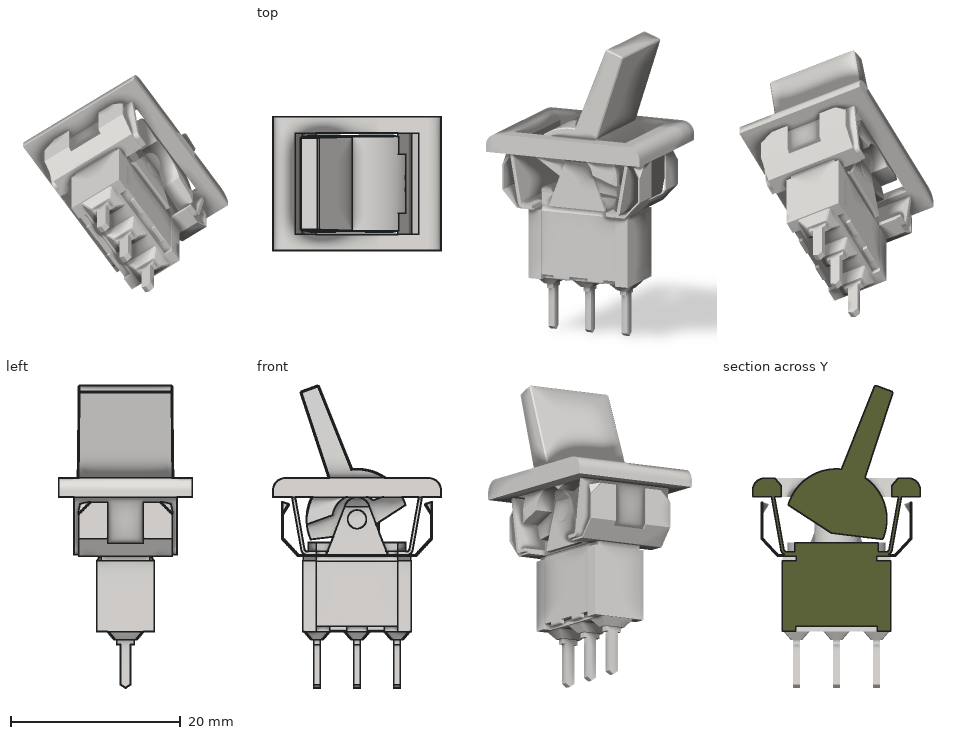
import cadquery as cq
import math


bezel_length, bezel_width, bezel_height = 19.85, 15.8, 2.26
bezel_bottom = 6.9
bezel_radius = 1.5
window_length, window_width = 14.56, 11.95
window_bevel_length, window_bevel_height = 0.8, 0.93

case_length, case_width = 12.8, 6.8
case_bottom = -8.97
cover_length = 9.56
cover_setback = 0.04
cover_chamfer_width, cover_chamfer_height = 0.35, 0.65
post_top = -0.6
post_lip_setback, post_lip_width = 0.04, 5.68
post_lip_top = -0.1
relief_height, relief_depth = 0.62, 1.0
tab_offset, tab_length, tab_height, tab_depth = 2.2, 2.0, 0.5, 0.5
collar_diameter, collar_width, collar_top = 11.5, 6.4, 1.57
bushing_diameter = 5.2

terminal_pitch = 4.72
terminal_thickness, terminal_width = 0.79, 1.22
terminal_end = -15.62
terminal_tip_rise = 0.42
shoulder_width, shoulder_bottom = 2.1, -10.5
boot_bottom = -9.93
boot_root = (3.05, 4.24)
boot_end = (1.4, 2.7)
boot_corner = 0.15

bracket_width = 12.16
bracket_bottom, bracket_thickness = 0.09, 0.4
leg_outer_bottom, leg_outer_top = 6.48, 7.69
leg_thickness_x = 0.42
bend_radius = 0.3
bracket_waist = 6.5
ear_inner, ear_thickness = 3.48, 0.35
ear_half_base, ear_half_top = 3.63, 1.47
ear_shoulder = 5.74
ear_top = 6.88
ear_flare = 0.7

spring_width, spring_thickness = 11.08, 0.2
spring_bottom = -0.1
spring_waist = case_width - 2 * (cover_setback + cover_chamfer_width)
spring_foot_x, spring_side_x = 6.96, 8.88
spring_elbow, spring_top = 1.97, 6.3
spring_slot_width, spring_slot_bottom = 4.2, 1.47
corner_fold = 1.42
corner_fold_angle = 48

pivot_height, pivot_diameter = 4.28, 2.2
pivot_protrusion = 0.04
tilt = 20
rocker_radius = 5.97
rocker_corner_drop, rocker_apex_drop = 0.38, 1.76
cap_bottom = 1.45
cap_recess_radius = 2.93
cap_half_width_bottom, cap_half_width_top = 5.7, 5.54
cap_side_flat, cap_end_setback = 5.0, 0.15
core_width = 2 * ear_inner
paddle_half_root, paddle_root = 1.5, 5.76
paddle_half_tip, paddle_tip = 1.17, 16.43
paddle_edge_chamfer = 0.15
cap_edge_chamfer = 0.12


def box(length, width, bottom, top, x=0, y=0):
    """Upright box centred on (x, y)."""
    return cq.Workplane("XY", origin=(x, y, bottom)).rect(length, width).extrude(top - bottom)


def prism_along_y(points, width):
    """Closed X-Z outline extruded symmetrically about Y = 0."""
    return cq.Workplane("XZ").polyline(points).close().extrude(width / 2, both=True)


def mirrored(body, plane):
    return body.union(body.mirror(plane))


def make_bezel():
    top = bezel_bottom + bezel_height
    frame = box(bezel_length, bezel_width, bezel_bottom, top)
    frame = frame.faces(">Z").edges("|Y").fillet(bezel_radius)
    half_top = window_length / 2
    half_bottom = half_top - window_bevel_length
    bevel_bottom = top - window_bevel_height
    window = prism_along_y([
        (-half_bottom, bezel_bottom),
        (-half_bottom, bevel_bottom),
        (-half_top, top),
        (half_top, top),
        (half_bottom, bevel_bottom),
        (half_bottom, bezel_bottom),
    ], window_width)
    return frame.cut(window)


def make_case():
    cover = box(cover_length, case_width - 2 * cover_setback, case_bottom, 0)
    cover = cover.faces(">Z").edges("|X").chamfer(cover_chamfer_height, cover_chamfer_width)
    body = cover.union(box(case_length, case_width, case_bottom, post_top).cut(
        box(cover_length, case_width, case_bottom, post_top)))
    relief_y = (case_width - relief_depth) / 2
    relief_top = case_bottom + relief_height
    relief = box(cover_length, relief_depth, case_bottom, relief_top, y=-relief_y)
    body = body.cut(mirrored(relief, "XZ"))
    tab_y = (case_width - tab_depth) / 2
    for x in (-tab_offset, tab_offset):
        tab = box(tab_length, tab_depth, relief_top - tab_height, relief_top, x, -tab_y)
        tab = tab.edges("|X and <Y and <Z").fillet(tab_depth / 2)
        body = body.union(mirrored(tab, "XZ"))
    post_lip_length = case_length - 2 * post_lip_setback
    body = body.union(box(post_lip_length, post_lip_width, post_top, post_lip_top))
    collar = cq.Workplane("XY", origin=(0, 0, post_lip_top)).circle(collar_diameter / 2)
    collar = collar.extrude(collar_top - post_lip_top)
    collar = collar.intersect(box(collar_diameter, collar_width, post_lip_top, collar_top))
    bushing = cq.Workplane("XY").circle(bushing_diameter / 2).extrude(pivot_height)
    return body.union(collar).union(bushing)


def clipped_rectangle(plane, size):
    """Rectangle with its four corners cut off at 45 degrees."""
    half_x, half_y = size[0] / 2, size[1] / 2
    inner_x, inner_y = half_x - boot_corner, half_y - boot_corner
    return plane.polyline([
        (half_x, -inner_y), (half_x, inner_y), (inner_x, half_y), (-inner_x, half_y),
        (-half_x, inner_y), (-half_x, -inner_y), (-inner_x, -half_y), (inner_x, -half_y),
    ]).close()


def make_terminal(x):
    boot = clipped_rectangle(cq.Workplane("XY", origin=(x, 0, case_bottom)), boot_root)
    boot = clipped_rectangle(boot.workplane(offset=boot_bottom - case_bottom), boot_end).loft(combine=True)
    shoulder = box(terminal_thickness, shoulder_width, shoulder_bottom, boot_bottom, x)
    half = terminal_width / 2
    flank_end = terminal_end + terminal_tip_rise
    blade = (
        cq.Workplane("YZ", origin=(x, 0, 0))
        .moveTo(-half, case_bottom)
        .lineTo(-half, flank_end)
        .lineTo(0, terminal_end)
        .lineTo(half, flank_end)
        .lineTo(half, case_bottom)
        .close()
        .extrude(terminal_thickness / 2, both=True)
    )
    return boot.union(shoulder).union(blade)


def make_ear():
    """Pivot ear on the -Y side with its domed tip flared outwards."""
    outer = ear_inner + ear_thickness
    outline = (
        cq.Workplane("XZ")
        .moveTo(-ear_half_base, bracket_bottom)
        .lineTo(ear_half_base, bracket_bottom)
        .lineTo(ear_half_top, ear_shoulder)
        .threePointArc((0, ear_top), (-ear_half_top, ear_shoulder))
        .close()
        .extrude(outer + ear_flare)
    )
    section = cq.Workplane("YZ").polyline([
        (-ear_inner, bracket_bottom),
        (-outer, bracket_bottom),
        (-outer, ear_shoulder),
        (-outer - ear_flare, ear_top),
        (-ear_inner - ear_flare, ear_top),
        (-ear_inner, ear_shoulder),
    ]).close().extrude(ear_half_base, both=True)
    return outline.intersect(section)


def make_bracket():
    plate_top = bracket_bottom + bracket_thickness
    lean = (leg_outer_top - leg_outer_bottom) / (bezel_bottom - bracket_bottom)
    inner_bottom = leg_outer_bottom - leg_thickness_x + lean * bracket_thickness
    inner_top = leg_outer_top - leg_thickness_x
    half_cover = cover_length / 2
    leg = prism_along_y([
        (half_cover, bracket_bottom),
        (leg_outer_bottom, bracket_bottom),
        (leg_outer_top, bezel_bottom),
        (inner_top, bezel_bottom),
        (inner_bottom, plate_top),
        (half_cover, plate_top),
    ], bracket_width)
    outer_edge = cq.selectors.NearestToPointSelector((leg_outer_bottom, 0, bracket_bottom))
    inner_edge = cq.selectors.NearestToPointSelector((inner_bottom, 0, plate_top))
    leg = leg.edges("|Y").edges(outer_edge).fillet(bend_radius + bracket_thickness)
    leg = leg.edges("|Y").edges(inner_edge).fillet(bend_radius)
    waist = box(cover_length, bracket_waist, bracket_bottom, plate_top)
    root = box(2 * ear_half_base, 2 * ear_inner, bracket_bottom, plate_top)
    ears = mirrored(make_ear(), "XZ")
    return mirrored(leg, "YZ").union(waist).union(root).union(ears)


def make_folded_corner():
    """Triangular flap at the upper -Y corner of the +X spring arm, folded inwards."""
    half = spring_width / 2
    fold_x = spring_side_x - spring_thickness / 2
    fold_start = cq.Vector(fold_x, -half, spring_top - corner_fold)
    fold_end = cq.Vector(fold_x, -half + corner_fold, spring_top)
    fold_mid = (fold_start + fold_end) * 0.5
    angle = math.radians(corner_fold_angle)
    across = math.sin(math.pi / 4)
    outward = cq.Vector(-math.sin(angle), -across * math.cos(angle), across * math.cos(angle))
    along = (fold_end - fold_start).normalized()
    plane = cq.Plane(fold_mid.toTuple(), along.toTuple(), along.cross(outward).toTuple())
    half_fold = corner_fold * across
    flap = cq.Workplane(plane).polyline([(-half_fold, 0), (half_fold, 0), (0, half_fold)]).close()
    return flap.extrude(spring_thickness / 2, both=True)


def make_spring():
    spring_floor = spring_bottom + spring_thickness
    half_cover = cover_length / 2
    slope = math.atan2(spring_elbow - spring_bottom, spring_side_x - spring_foot_x)
    foot_shift = spring_thickness * math.tan(slope / 2)
    elbow_shift = spring_thickness * math.tan((math.pi / 2 - slope) / 2)
    inner_x = spring_side_x - spring_thickness
    arm = prism_along_y([
        (half_cover, spring_bottom),
        (spring_foot_x, spring_bottom),
        (spring_side_x, spring_elbow),
        (spring_side_x, spring_top),
        (inner_x, spring_top),
        (inner_x, spring_elbow + elbow_shift),
        (spring_foot_x - foot_shift, spring_floor),
        (half_cover, spring_floor),
    ], spring_width)
    slot_length = 2 * (spring_side_x - spring_foot_x)
    arm = arm.cut(box(slot_length, spring_slot_width, spring_slot_bottom, spring_top, spring_side_x))
    clip_line = [
        (-spring_width / 2, spring_top - corner_fold),
        (-spring_width / 2, spring_top),
        (-spring_width / 2 + corner_fold, spring_top),
    ]
    corner = cq.Workplane("YZ").polyline(clip_line).close().extrude(2 * spring_side_x)
    arm = arm.cut(mirrored(corner, "XZ"))
    arm = arm.union(mirrored(make_folded_corner(), "XZ"))
    waist = box(cover_length, spring_waist, spring_bottom, spring_floor)
    return mirrored(arm, "YZ").union(waist)


def make_cap_and_paddle():
    """Upper rocker shell and its paddle, upright about a pivot at the origin."""
    half_chord = math.sqrt(rocker_radius ** 2 - cap_bottom ** 2)
    cap = (
        cq.Workplane("XZ")
        .moveTo(-half_chord, cap_bottom)
        .threePointArc((0, rocker_radius), (half_chord, cap_bottom))
        .close()
        .extrude(cap_half_width_bottom, both=True)
    )
    draft = cq.Workplane("YZ").polyline([
        (-cap_half_width_bottom, cap_bottom),
        (cap_half_width_bottom, cap_bottom),
        (cap_half_width_top, paddle_tip),
        (-cap_half_width_top, paddle_tip),
    ]).close().extrude(rocker_radius, both=True)
    cap = cap.intersect(draft)
    cap = cap.edges("%ELLIPSE").chamfer(cap_edge_chamfer)
    recess = cq.Workplane("XZ").circle(cap_recess_radius).extrude(cap_half_width_bottom, both=True)
    cap = cap.cut(recess)
    end_corner = cq.Workplane("XY").polyline([
        (cap_side_flat, -cap_half_width_bottom),
        (half_chord, -cap_half_width_bottom),
        (half_chord, -cap_half_width_bottom + cap_end_setback),
    ]).close().extrude(rocker_radius)
    cap = cap.cut(mirrored(mirrored(end_corner, "XZ"), "YZ"))
    paddle = prism_along_y([
        (-paddle_half_root, paddle_root),
        (-paddle_half_tip, paddle_tip),
        (paddle_half_tip, paddle_tip),
        (paddle_half_root, paddle_root),
        (paddle_half_root, cap_recess_radius),
        (-paddle_half_root, cap_recess_radius),
    ], 2 * cap_half_width_bottom)
    paddle = paddle.intersect(draft)
    above_root = cq.selectors.BoxSelector(
        (-rocker_radius, -bezel_width, paddle_root),
        (rocker_radius, bezel_width, 2 * paddle_tip),
    )
    paddle = paddle.edges(above_root).chamfer(paddle_edge_chamfer)
    return cap.union(paddle)


def make_core():
    """Middle of the rocker, between the ears, with a shallow V underside."""
    half_chord = math.sqrt(rocker_radius ** 2 - rocker_corner_drop ** 2)
    return (
        cq.Workplane("XZ")
        .moveTo(-half_chord, -rocker_corner_drop)
        .threePointArc((0, rocker_radius), (half_chord, -rocker_corner_drop))
        .lineTo(0, -rocker_apex_drop)
        .close()
        .extrude(core_width / 2, both=True)
    )


def make_rocker():
    rocker = make_core().union(make_cap_and_paddle())
    rocker = rocker.rotate((0, 0, 0), (0, 1, 0), -tilt)
    pin_half = ear_inner + ear_thickness + pivot_protrusion
    pin = cq.Workplane("XZ").circle(pivot_diameter / 2).extrude(pin_half, both=True)
    return rocker.union(pin).translate((0, 0, pivot_height))


result = make_case().union(make_spring()).union(make_bracket())
for terminal_x in (-terminal_pitch, 0, terminal_pitch):
    result = result.union(make_terminal(terminal_x))
result = result.union(make_rocker()).union(make_bezel())